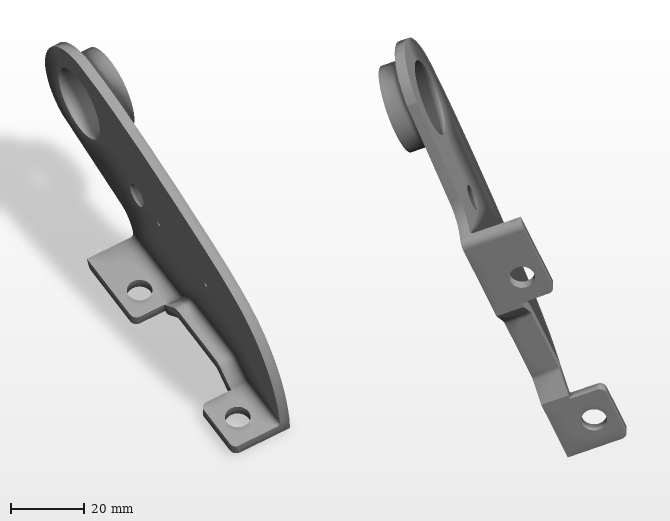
import cadquery as cq
import math


length = 122.83
height = 48.06
sheet = 3.0

head_z = 29.5
head_upper_radius = height - head_z
head_lower_radius = 14.6
head_lower_end_angle = math.radians(246.5)

crown_points = [(40.0, 46.5), (60.0, 43.2), (80.0, 38.9)]
nose_start = (98.0, 33.7)
nose_middle = (114.3, 22.4)
nose_start_slope = math.radians(-22.0)

neck_corner = (44.2, 9.1)
neck_radius = 8.5
toe_x = 47.3
toe_radius = 2.0

tab_depth = 15.0
bridge_depth = 5.0
bridge_rise = 4.45
left_foot_x = 71.15
right_foot_x = 104.9
left_ramp_angle = math.radians(40.0)
right_ramp_angle = math.radians(35.0)
ramp_foot_radius = 1.0
bridge_inner_radius = 2.0
tab_corner_radius = 2.0
bend_fillet = 1.0

boss_x = 17.85
boss_z = 30.7
boss_diameter = 25.0
bore_diameter = 21.5
boss_height = 7.0
boss_fillet = 1.0

hole_diameter = 7.0
pin_diameter = 1.5
hole_row_z = 23.0
plate_hole_x = 47.9
pin_xs = (59.3, 83.8)
tab_hole_xs = (63.0, 114.1)
tab_hole_y = -8.4

pick_margin = 0.02


def toward(point, target, distance):
    """Point at a distance from one point in the direction of another."""
    share = distance / math.dist(point, target)
    return tuple(p + share * (t - p) for p, t in zip(point, target))


def rounded_corner(sketch, before, corner, after, radius):
    """Continue a sketch with a line to a corner that is rounded by a tangent arc."""
    heading_in = math.atan2(corner[1] - before[1], corner[0] - before[0])
    heading_out = math.atan2(after[1] - corner[1], after[0] - corner[0])
    half_turn = abs(math.remainder(heading_out - heading_in, math.tau)) / 2
    setback = radius * math.tan(half_turn)
    start = toward(corner, before, setback)
    end = toward(corner, after, setback)
    chord_middle = tuple((s + e) / 2 for s, e in zip(start, end))
    middle = toward(corner, chord_middle, radius / math.cos(half_turn) - radius)
    return sketch.lineTo(*start).threePointArc(middle, end)


def bridge_corners(offset):
    """Foot and crest corners of the bridge, on the path this far above its underside."""
    corners = []
    sides = ((left_foot_x, left_ramp_angle, 1), (right_foot_x, right_ramp_angle, -1))
    for foot_x, angle, inward in sides:
        shift = inward * (sheet - offset) * math.tan(angle / 2)
        foot = (foot_x + shift, offset)
        crest = (foot[0] + inward * bridge_rise / math.tan(angle), offset + bridge_rise)
        corners.append((foot, crest))
    (left_foot, left_crest), (right_foot, right_crest) = corners
    return left_foot, left_crest, right_crest, right_foot


def outline_block(y_front, y_back):
    """Side outline of the part, solid between two Y positions."""
    lower_centre = (head_lower_radius, head_z)

    def head_lower_point(angle):
        return (
            lower_centre[0] + head_lower_radius * math.cos(angle),
            lower_centre[1] + head_lower_radius * math.sin(angle),
        )

    head_end = head_lower_point(head_lower_end_angle)
    head_lower_middle = head_lower_point((math.pi + head_lower_end_angle) / 2)
    head_upper_middle = (
        head_upper_radius * (1 - math.cos(math.pi / 4)),
        head_z + head_upper_radius * math.sin(math.pi / 4),
    )
    left_foot, left_crest, right_crest, right_foot = bridge_corners(0)
    toe = (toe_x, 0)
    crown_end_direction = (math.cos(nose_start_slope), math.sin(nose_start_slope))

    sketch = cq.Workplane("XZ", origin=(0, y_back, 0)).moveTo(0, head_z)
    sketch = sketch.threePointArc(head_lower_middle, head_end)
    sketch = rounded_corner(sketch, head_end, neck_corner, toe, neck_radius)
    sketch = rounded_corner(sketch, neck_corner, toe, left_foot, toe_radius)
    sketch = sketch.lineTo(*left_foot)
    sketch = rounded_corner(sketch, left_foot, left_crest, right_crest, bridge_inner_radius)
    sketch = rounded_corner(sketch, left_crest, right_crest, right_foot, bridge_inner_radius)
    sketch = sketch.lineTo(*right_foot).lineTo(length, 0)
    sketch = sketch.threePointArc(nose_middle, nose_start)
    sketch = sketch.spline(
        crown_points[::-1] + [(head_upper_radius, height)],
        tangents=[tuple(-d for d in crown_end_direction), (-1, 0)],
        includeCurrent=True,
    )
    sketch = sketch.threePointArc(head_upper_middle, (0, head_z))
    return sketch.close().extrude(y_back - y_front)


def below_flange_top():
    """Everything below the upper surface of the tabs and bridge."""
    left_foot, left_crest, right_crest, right_foot = bridge_corners(sheet)
    outer_radius = bridge_inner_radius + sheet
    left_end = (0, sheet)
    right_end = (length + sheet, sheet)
    sketch = cq.Workplane("XZ").moveTo(0, -sheet).lineTo(*left_end)
    sketch = rounded_corner(sketch, left_end, left_foot, left_crest, ramp_foot_radius)
    sketch = rounded_corner(sketch, left_foot, left_crest, right_crest, outer_radius)
    sketch = rounded_corner(sketch, left_crest, right_crest, right_foot, outer_radius)
    sketch = rounded_corner(sketch, right_crest, right_foot, right_end, ramp_foot_radius)
    return sketch.lineTo(*right_end).lineTo(right_end[0], -sheet).close().extrude(tab_depth)


def tab_footprint():
    """Plan shape of the flange: two tabs and the narrower bridge between them."""
    left_edge = left_foot_x - ramp_foot_radius * math.tan(left_ramp_angle / 2)
    right_edge = right_foot_x + ramp_foot_radius * math.tan(right_ramp_angle / 2)

    def block(x_start, x_end, depth):
        plan = cq.Workplane("XY").moveTo(x_start, -depth).lineTo(x_end, -depth)
        return plan.lineTo(x_end, 0).lineTo(x_start, 0).close().extrude(height)

    left_tab = block(neck_corner[0], left_edge, tab_depth)
    left_tab = left_tab.edges("|Z and <Y and >X").fillet(tab_corner_radius)
    right_tab = block(right_edge, length, tab_depth).edges("|Z and <Y").fillet(tab_corner_radius)
    return block(left_edge, right_edge, bridge_depth).union(left_tab).union(right_tab)


def make_body():
    """Plate and flange with a filleted inner bend."""
    flange = outline_block(-tab_depth, 0).intersect(below_flange_top()).intersect(tab_footprint())
    body = outline_block(0, sheet).union(flange).clean()
    bend_edges = cq.selectors.BoxSelector(
        (toe_x, -pick_margin, sheet - pick_margin),
        (length - sheet, pick_margin, sheet + bridge_rise + pick_margin),
    )
    return body.edges(bend_edges).fillet(bend_fillet)


def add_boss(body):
    """Round boss on the back of the plate with a filleted root."""
    plane = cq.Workplane("XZ", origin=(boss_x, sheet, boss_z))
    body = body.union(plane.circle(boss_diameter / 2).extrude(-boss_height))
    reach = boss_diameter / 2 + boss_fillet
    root = cq.selectors.BoxSelector(
        (boss_x - reach, sheet - pick_margin, boss_z - reach),
        (boss_x + reach, sheet + pick_margin, boss_z + reach),
        boundingbox=True,
    )
    return body.edges(root).fillet(boss_fillet)


def cut_holes(body):
    """Bore, plate holes and tab holes, all through."""
    full_depth = tab_depth + sheet + boss_height

    def plate_drill(x, z, diameter):
        return cq.Workplane("XZ", origin=(x, -tab_depth, z)).circle(diameter / 2).extrude(-full_depth)

    def tab_drill(x):
        return cq.Workplane("XY", origin=(x, tab_hole_y, 0)).circle(hole_diameter / 2).extrude(sheet)

    body = body.cut(plate_drill(boss_x, boss_z, bore_diameter))
    body = body.cut(plate_drill(plate_hole_x, hole_row_z, hole_diameter))
    for x in pin_xs:
        body = body.cut(plate_drill(x, hole_row_z, pin_diameter))
    for x in tab_hole_xs:
        body = body.cut(tab_drill(x))
    return body


result = cut_holes(add_boss(make_body()))